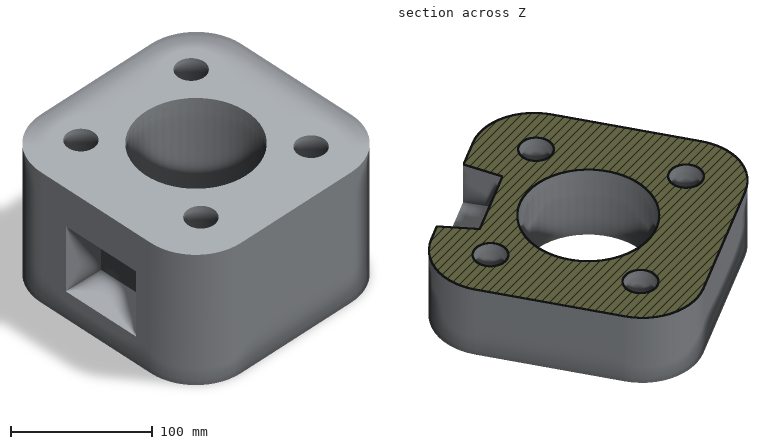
import cadquery as cq
import math

block_side = 200.0
block_height = 120.0
corner_radius = 45.0

bore_diameter = 100.0
bolt_hole_diameter = 25.0
bolt_spacing_x = 120.0
bolt_spacing_y = 110.0

pocket_width = 70.0
pocket_height = 60.0
pocket_depth = 30.0
pocket_draft_angle = 10.0
pocket_center_x = 5.0
pocket_drop = 5.0
pocket_center_z = block_height / 2 - pocket_drop


def make_block():
    block = cq.Workplane("XY").rect(block_side, block_side).extrude(block_height)
    return block.edges("|Z").fillet(corner_radius)


def make_through_holes():
    bore = cq.Workplane("XY").circle(bore_diameter / 2).extrude(block_height)
    bolt_holes = (
        cq.Workplane("XY")
        .rect(bolt_spacing_x, bolt_spacing_y, forConstruction=True)
        .vertices()
        .circle(bolt_hole_diameter / 2)
        .extrude(block_height)
    )
    return bore.union(bolt_holes)


def make_pocket():
    inset = pocket_depth * math.tan(math.radians(pocket_draft_angle))
    front_face = cq.Plane(
        origin=(pocket_center_x, -block_side / 2, pocket_center_z),
        xDir=(1, 0, 0),
        normal=(0, 1, 0),
    )
    return (
        cq.Workplane(front_face)
        .rect(pocket_width, pocket_height)
        .workplane(offset=pocket_depth)
        .rect(pocket_width - 2 * inset, pocket_height - 2 * inset)
        .loft(ruled=True)
    )


result = make_block().cut(make_through_holes()).cut(make_pocket())